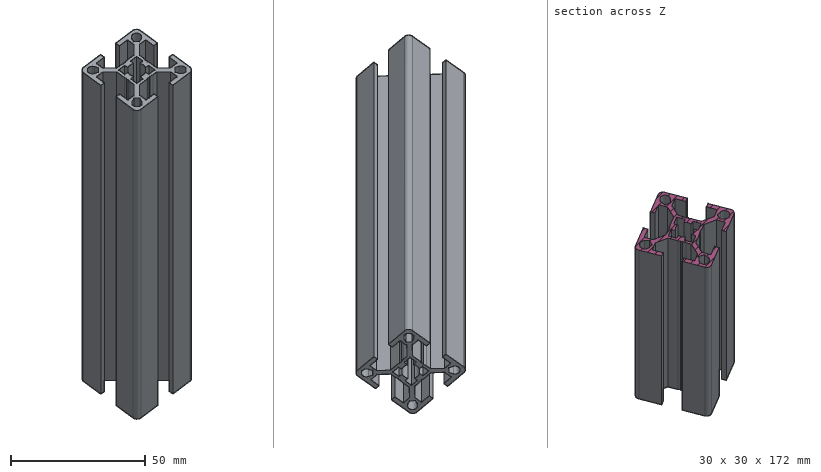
import cadquery as cq
import math

side = 30.0
length = 172.0
outer_radius = 2.0

lip_thickness = 1.95
mouth_half_width = 4.0
slot_half_width = 8.25
web_thickness = 2.0
core_half = 6.0

core_wall = 1.25
bore_radius = 3.45
pad_half_at_wall = 1.6
pad_half_at_axis = 1.1

hole_offset = 11.7
hole_radius = 1.9
nose_tip_distance = 14.2
nose_half_angle = math.radians(22)

groove_depth = 0.25
groove_start = -0.6
groove_valley_1 = 0.2
groove_ridge = 0.65
groove_valley_2 = 1.1
groove_end = 2.5

half_side = side / 2
cavity_half = core_half - core_wall
quarter_turns = (0, 90, 180, 270)


def prism(points):
    """Full-length extrusion of a closed outline."""
    return cq.Workplane("XY").polyline(points).close().extrude(length)


def around_axis(shape):
    """Four copies of a shape, a quarter turn apart about the profile axis."""
    copies = cq.Workplane("XY")
    for angle in quarter_turns:
        copies = copies.add(shape.rotate((0, 0, 0), (0, 0, 1), angle))
    return copies.combine()


def make_bar():
    block = cq.Workplane("XY").rect(side, side).extrude(length)
    return block.edges("|Z").fillet(outer_radius)


def make_slot():
    """T-slot on the -Y side, with its inner corners cut along the webs."""
    web_offset = web_thickness / math.sqrt(2)
    lip_inner_y = -half_side + lip_thickness
    right = [
        (core_half - web_offset, -core_half),
        (slot_half_width, -slot_half_width - web_offset),
        (slot_half_width, lip_inner_y),
        (mouth_half_width, lip_inner_y),
        (mouth_half_width, -half_side),
    ]
    left = [(-x, y) for x, y in reversed(right)]
    return prism(right + left)


def make_floor_grooves():
    """Two V grooves in the slot floor on the -Y side."""
    floor_y = -core_half
    valley_y = floor_y + groove_depth
    return prism([
        (groove_start, floor_y),
        (groove_valley_1, valley_y),
        (groove_ridge, floor_y),
        (groove_valley_2, valley_y),
        (groove_end, floor_y),
    ])


def make_core_cavity():
    """Square cavity less its pads, whose tips are hollowed by the bore."""
    square = cq.Workplane("XY").rect(2 * cavity_half, 2 * cavity_half).extrude(length)
    pad = prism([
        (-pad_half_at_wall, -cavity_half),
        (pad_half_at_wall, -cavity_half),
        (pad_half_at_axis, 0),
        (-pad_half_at_axis, 0),
    ])
    bore = cq.Workplane("XY").circle(bore_radius).extrude(length)
    return square.cut(around_axis(pad)).union(bore)


def make_corner_hole():
    """Hole in the (+X, +Y) corner, built along +X and turned onto the diagonal."""
    centre = hole_offset * math.sqrt(2)
    tangent_x = centre - hole_radius * math.sin(nose_half_angle)
    tangent_y = hole_radius * math.cos(nose_half_angle)
    tip_y = tangent_y - (tangent_x - nose_tip_distance) * math.tan(nose_half_angle)
    nose = prism([
        (tangent_x, tangent_y),
        (nose_tip_distance, tip_y),
        (nose_tip_distance, -tip_y),
        (tangent_x, -tangent_y),
    ])
    hole = cq.Workplane("XY").center(centre, 0).circle(hole_radius).extrude(length)
    return hole.union(nose).rotate((0, 0, 0), (0, 0, 1), 45)


result = make_bar()
for cutter in (make_slot(), make_floor_grooves(), make_corner_hole()):
    result = result.cut(around_axis(cutter))
result = result.cut(make_core_cavity())